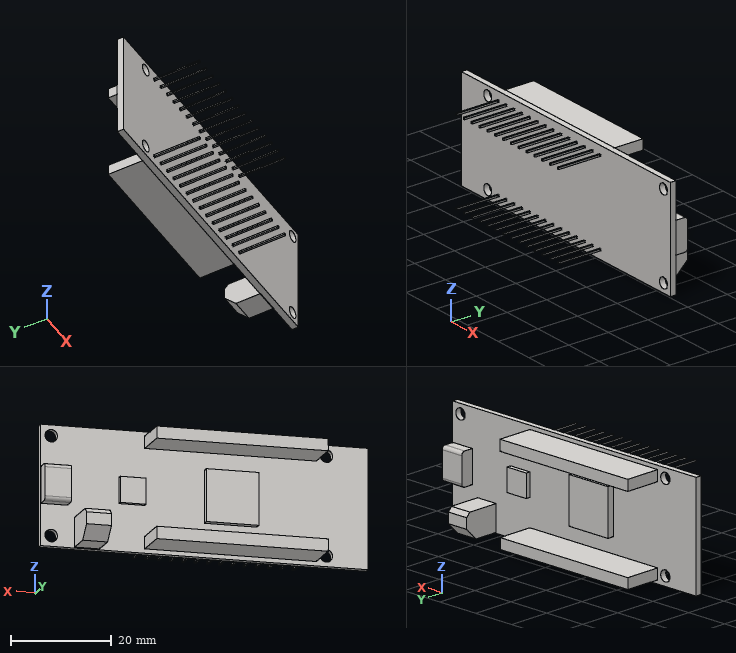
import cadquery as cq


board_length = 68.0
board_height = 25.0
board_thickness = 1.5
mount_hole_diameter = 2.5
mount_hole_columns = (8.65, 65.75)
mount_hole_spacing_z = 20.55

pin_count = 14
header_length = 35.6
header_left = 10.75
header_right = header_left + header_length
pin_pitch = header_length / pin_count
first_pin_x = header_left + pin_pitch / 2
pin_width = 0.4
pin_reach = 10.55
row_spacing = 20.7
header_depth = 8.5

large_module_size = 10.9
large_module_depth = 1.5
small_module_size = 5.4
small_module_depth = 1.0

terminal_left = 55.75
terminal_width = 5.2
terminal_depth = 8.4
terminal_height = 6.1
terminal_edge_gap = 0.2
terminal_top_chamfer = 0.95
terminal_bottom_chamfer = 2.7

socket_left = 62.4
socket_width = 5.5
socket_height = 7.6
socket_depth = 3.0
socket_edge_radius = 0.8


def block(left, width, front, depth, middle_z, height):
    """Box from its left side, front face and mid height."""
    return (
        cq.Workplane("XY")
        .box(width, depth, height, centered=(False, False, True))
        .translate((left, front, middle_z))
    )


def make_pins(row_z):
    """Square pins of one row, running from the header block through the board."""
    pins = cq.Workplane("XY")
    for index in range(pin_count):
        pin_left = first_pin_x + index * pin_pitch - pin_width / 2
        pins = pins.add(
            block(pin_left, pin_width, -pin_reach, pin_reach + board_thickness, row_z, pin_width)
        )
    return pins.combine()


def make_header(row_z):
    """One header: a plain block behind the board with its row of long pins."""
    body = block(header_left, header_length, board_thickness, header_depth, row_z, pin_pitch)
    return body.union(make_pins(row_z))


def make_terminal():
    """Screw terminal extruded along X, with both rear edges chamfered."""
    middle_z = -board_height / 2 + terminal_edge_gap + terminal_height / 2
    terminal = block(
        terminal_left, terminal_width, board_thickness, terminal_depth, middle_z, terminal_height
    )
    terminal = terminal.faces(">Y").edges(">Z").chamfer(terminal_top_chamfer)
    return terminal.faces(">Y").edges("<Z").chamfer(terminal_bottom_chamfer)


def make_socket():
    """Block whose two long rear edges are rounded."""
    socket = block(socket_left, socket_width, board_thickness, socket_depth, 0, socket_height)
    return socket.faces(">Y").edges("|X").fillet(socket_edge_radius)


def make_module(left, size, depth):
    """Square module lying flat on the board."""
    return block(left, size, board_thickness, depth, 0, size)


def make_board(row_heights):
    """Board with mounting holes, pin holes and its fixed components."""
    hole_points = [
        (x, side * mount_hole_spacing_z / 2) for x in mount_hole_columns for side in (-1, 1)
    ]
    mount_holes = (
        cq.Workplane("XZ")
        .pushPoints(hole_points)
        .circle(mount_hole_diameter / 2)
        .extrude(-board_thickness)
    )
    board = block(0, board_length, 0, board_thickness, 0, board_height).cut(mount_holes)
    for row_z in row_heights:
        board = board.cut(make_pins(row_z))

    large_module_left = header_left + (header_length - large_module_size) / 2
    components = (
        make_module(large_module_left, large_module_size, large_module_depth),
        make_module(header_right, small_module_size, small_module_depth),
        make_terminal(),
        make_socket(),
    )
    for component in components:
        board = board.union(component)
    return board


row_heights = (-row_spacing / 2, row_spacing / 2)
board = make_board(row_heights)
headers = [make_header(row_z) for row_z in row_heights]

bodies = [body.solids().val() for body in (board, *headers)]

result = cq.Compound.makeCompound(bodies)